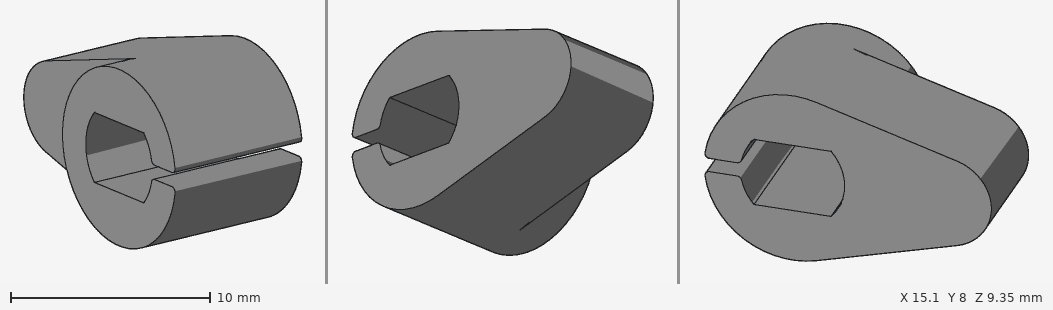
import cadquery as cq
import math

hub_radius = 4.675
hub_length = 8.0

tip_radius = 2.5
tip_distance = 8.0
lever_thickness = 6.0

bore_radius = 2.75
bore_flat_width = 3.7
slot_width = 0.75
slot_edge_radius = 0.25

back_plane = cq.Workplane("XZ", origin=(0, hub_length, 0))


def make_hub():
    return back_plane.circle(hub_radius).extrude(hub_length)


def make_lever():
    """Arm bounded by the hub circle, the tip circle and their outer tangent lines."""
    taper_angle = math.asin((hub_radius - tip_radius) / tip_distance)
    normal_x = -math.sin(taper_angle)
    normal_z = math.cos(taper_angle)
    hub_x = hub_radius * normal_x
    hub_z = hub_radius * normal_z
    tip_x = tip_radius * normal_x - tip_distance
    tip_z = tip_radius * normal_z
    return (
        back_plane.moveTo(hub_x, hub_z)
        .lineTo(tip_x, tip_z)
        .threePointArc((-tip_distance - tip_radius, 0), (tip_x, -tip_z))
        .lineTo(hub_x, -hub_z)
        .threePointArc((hub_radius, 0), (hub_x, hub_z))
        .close()
        .extrude(lever_thickness)
    )


def make_bore():
    """Round bore narrowed by two flats parallel to the lever's centre plane."""
    flats = back_plane.rect(2 * bore_radius, bore_flat_width).extrude(hub_length)
    return back_plane.circle(bore_radius).extrude(hub_length).intersect(flats)


def make_slot():
    """Radial slit from the bore through the hub wall opposite the lever."""
    return (
        back_plane.center(hub_radius / 2, 0)
        .rect(hub_radius, slot_width)
        .extrude(hub_length)
    )


def round_slot_edges(body):
    """Round the four lengthwise edges where the slot meets the bore and the outer wall."""
    slot_corners = cq.selectors.BoxSelector(
        (bore_radius / 2, 0, -slot_width),
        (hub_radius + slot_width, hub_length, slot_width),
    )
    return body.edges("|Y").edges(slot_corners).fillet(slot_edge_radius)


clamp_lever = make_hub().union(make_lever()).cut(make_bore()).cut(make_slot())
result = round_slot_edges(clamp_lever)